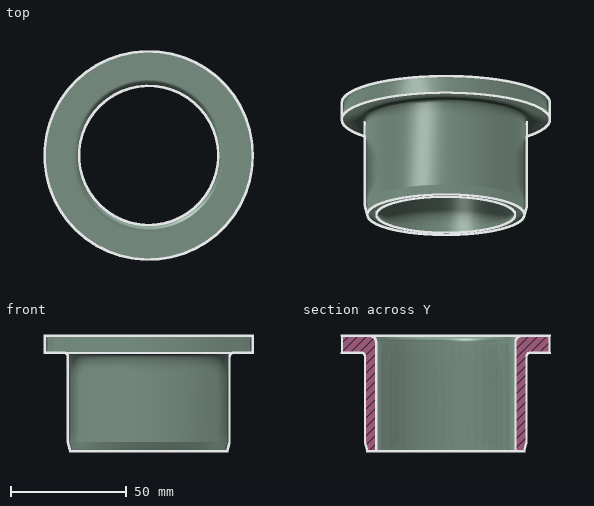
import cadquery as cq
import math

bore_diameter = 60
sleeve_diameter = 70
flange_diameter = 90
flange_thickness = 7.5
total_height = 50
bore_round_radius = 3
neck_fillet_radius = 1.5
lead_in_height = 4
lead_in_angle = 15

bore_radius = bore_diameter / 2
sleeve_radius = sleeve_diameter / 2
flange_radius = flange_diameter / 2
lead_in_depth = lead_in_height * math.tan(math.radians(lead_in_angle))


def bushing_profile():
    """Half section in the XZ plane: radius along X, height along Z."""
    bottom = -total_height
    flange_bottom = -flange_thickness
    diagonal = math.sqrt(0.5)
    bore_round_center = (bore_radius + bore_round_radius, -bore_round_radius)
    bore_round_middle = (
        bore_round_center[0] - bore_round_radius * diagonal,
        bore_round_center[1] + bore_round_radius * diagonal,
    )
    neck_center = (sleeve_radius + neck_fillet_radius, flange_bottom - neck_fillet_radius)
    neck_middle = (
        neck_center[0] - neck_fillet_radius * diagonal,
        neck_center[1] + neck_fillet_radius * diagonal,
    )
    return (
        cq.Workplane("XZ")
        .moveTo(bore_radius, bottom)
        .lineTo(sleeve_radius - lead_in_depth, bottom)
        .lineTo(sleeve_radius, bottom + lead_in_height)
        .lineTo(sleeve_radius, neck_center[1])
        .threePointArc(neck_middle, (neck_center[0], flange_bottom))
        .lineTo(flange_radius, flange_bottom)
        .lineTo(flange_radius, 0)
        .lineTo(bore_round_center[0], 0)
        .threePointArc(bore_round_middle, (bore_radius, bore_round_center[1]))
        .close()
    )


result = bushing_profile().revolve(360, (0, 0, 0), (0, 1, 0))